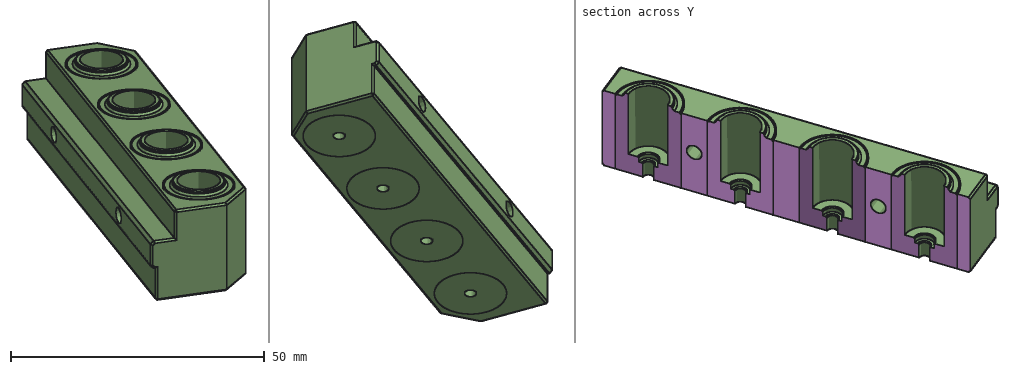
import cadquery as cq

length = 80.0
block_height = 19.0
total_height = 20.0
total_depth = 21.8
ledge_overhang = 5.0
ledge_undercut = 1.0
ledge_bottom = 7.0
ledge_top = 13.0
corner_cut = 6.0
edge_chamfer = 0.4
ledge_chamfer = 0.6

cross_hole_count = 2
cross_hole_diameter = 3.2
cross_hole_spacing = length / 2
cross_hole_height = (ledge_bottom + ledge_top) / 2

bushing_count = 4
bushing_pitch = length / bushing_count
bushing_diameter = 14.2
bushing_rim_chamfer = 0.3
collar_diameter = 10.5
collar_flare = 0.5
collar_edge_chamfer = 0.2
bore_diameter = 8.5
bore_floor = 4.8
recess_diameter = 4.1
recess_depth = 1.2
inner_chamfer = 0.2
outlet_diameter = 2.3
bushing_to_back = 8.5

front_y = -total_depth / 2
back_y = total_depth / 2
bushing_y = back_y - bushing_to_back
bushing_places = [
    ((i - (bushing_count - 1) / 2) * bushing_pitch, bushing_y) for i in range(bushing_count)
]


def make_block():
    upper_wall_y = front_y + ledge_overhang
    lower_wall_y = front_y + ledge_undercut
    profile = [
        (back_y, 0),
        (back_y, block_height),
        (upper_wall_y, block_height),
        (upper_wall_y, ledge_top),
        (front_y, ledge_top),
        (front_y, ledge_bottom),
        (lower_wall_y, ledge_bottom),
        (lower_wall_y, 0),
    ]
    bar = cq.Workplane("YZ").polyline(profile).close().extrude(length / 2, both=True)
    bar = bar.edges("|Z and >Y").chamfer(corner_cut)

    bar = bar.faces("<Y").edges("|X").chamfer(ledge_chamfer)

    top_and_bottom_edges = bar.faces("<Z or >Z").edges()
    end_edges = bar.faces("<X or >X").edges("not >Y")
    bar = top_and_bottom_edges.add(end_edges).chamfer(edge_chamfer)

    cross_holes = (
        cq.Workplane("XZ", origin=(0, back_y, cross_hole_height))
        .rarray(cross_hole_spacing, 0.8, cross_hole_count, 1)
        .circle(cross_hole_diameter / 2)
        .extrude(total_depth)
    )
    bushing_holes = (
        cq.Workplane("XY").pushPoints(bushing_places).circle(bushing_diameter / 2).extrude(block_height)
    )
    return bar.cut(cross_holes).cut(bushing_holes)


def make_bushing(x, y):
    radius = bushing_diameter / 2
    collar_radius = collar_diameter / 2
    bore_radius = bore_diameter / 2
    recess_radius = recess_diameter / 2
    outlet_radius = outlet_diameter / 2
    recess_floor = bore_floor - recess_depth
    half_section = [
        (outlet_radius, 0),
        (radius, 0),
        (radius, block_height - bushing_rim_chamfer),
        (radius - bushing_rim_chamfer, block_height),
        (collar_radius + collar_flare, block_height),
        (collar_radius, block_height + collar_flare),
        (collar_radius, total_height - collar_edge_chamfer),
        (collar_radius - collar_edge_chamfer, total_height),
        (bore_radius, total_height),
        (bore_radius, bore_floor),
        (recess_radius + inner_chamfer, bore_floor),
        (recess_radius, bore_floor - inner_chamfer),
        (recess_radius, recess_floor),
        (outlet_radius + inner_chamfer, recess_floor),
        (outlet_radius, recess_floor - inner_chamfer),
    ]
    bushing = cq.Workplane("XZ").polyline(half_section).close().revolve(360, (0, 0, 0), (0, 1, 0))
    return bushing.translate((x, y, 0))


block = make_block()
bushings = [make_bushing(x, y) for x, y in bushing_places]

result = cq.Compound.makeCompound([block.val(), *[bushing.val() for bushing in bushings]])